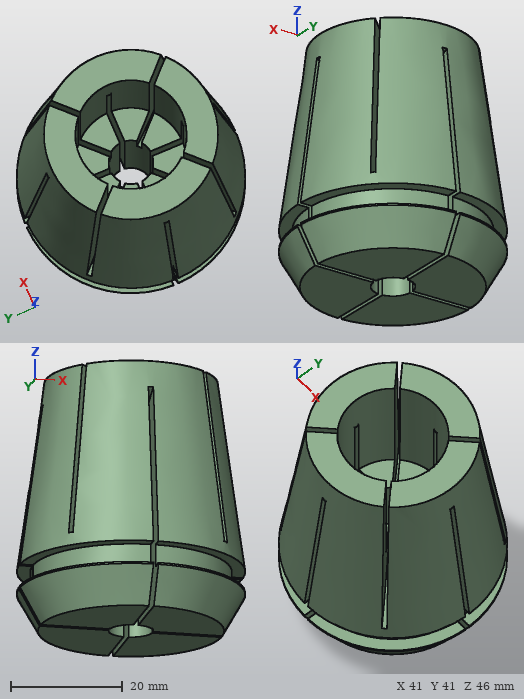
import cadquery as cq

height = 46.0
rim_radius = 20.495
bottom_radius = 16.7
top_radius = 15.6
rim_bottom_z = 6.7
groove_bottom_z = 7.05
groove_top_z = 11.05
groove_radius = 18.1

bore_radius = 4.0
counterbore_radius = 10.0
counterbore_floor_z = 23.0

slot_width = 0.9
lower_slot_outer_z = 40.95
lower_slot_inner_z = 37.25
lower_slot_arc_radius = 20.7
upper_slot_outer_z = 13.52
upper_slot_middle = (10.7, 14.55)
upper_slot_inner_z = 18.85
slot_count = 4
slot_pitch = 360 / slot_count
overcut = 0.9
slot_reach = rim_radius + overcut


def cone_radius(z):
    """Radius of the upper clamping cone at height z."""
    fraction = (z - groove_top_z) / (height - groove_top_z)
    return rim_radius + fraction * (top_radius - rim_radius)


def make_body():
    outline = [
        (0, 0),
        (bottom_radius, 0),
        (rim_radius, rim_bottom_z),
        (rim_radius, groove_bottom_z),
        (groove_radius, groove_bottom_z),
        (groove_radius, groove_top_z),
        (rim_radius, groove_top_z),
        (top_radius, height),
        (0, height),
    ]
    body = cq.Workplane("XZ").polyline(outline).close().revolve(360, (0, 0), (0, 1))
    bore = cq.Workplane("XY").circle(bore_radius).extrude(height)
    counterbore = (
        cq.Workplane("XY", origin=(0, 0, counterbore_floor_z))
        .circle(counterbore_radius)
        .extrude(height - counterbore_floor_z)
    )
    return body.cut(bore).cut(counterbore)


def make_lower_slot():
    """Slot open at the bottom; its end drops from the cone towards the counterbore."""
    outer_radius = cone_radius(lower_slot_outer_z)
    return (
        cq.Workplane("XZ")
        .moveTo(0, -overcut)
        .lineTo(slot_reach, -overcut)
        .lineTo(slot_reach, lower_slot_outer_z)
        .lineTo(outer_radius, lower_slot_outer_z)
        .radiusArc((counterbore_radius, lower_slot_inner_z), -lower_slot_arc_radius)
        .lineTo(0, lower_slot_inner_z)
        .close()
        .extrude(slot_width / 2, both=True)
    )


def make_upper_slot():
    """Slot open at the top; its floor rises from the cone towards the bore."""
    outer_radius = cone_radius(upper_slot_outer_z)
    return (
        cq.Workplane("XZ")
        .moveTo(0, height + overcut)
        .lineTo(slot_reach, height + overcut)
        .lineTo(slot_reach, upper_slot_outer_z)
        .lineTo(outer_radius, upper_slot_outer_z)
        .threePointArc(upper_slot_middle, (bore_radius, upper_slot_inner_z))
        .lineTo(0, upper_slot_inner_z)
        .close()
        .extrude(slot_width / 2, both=True)
    )


result = make_body()
lower_slot = make_lower_slot()
upper_slot = make_upper_slot()
for index in range(slot_count):
    lower_angle = index * slot_pitch
    upper_angle = lower_angle + slot_pitch / 2
    result = result.cut(lower_slot.rotate((0, 0, 0), (0, 0, 1), lower_angle))
    result = result.cut(upper_slot.rotate((0, 0, 0), (0, 0, 1), upper_angle))